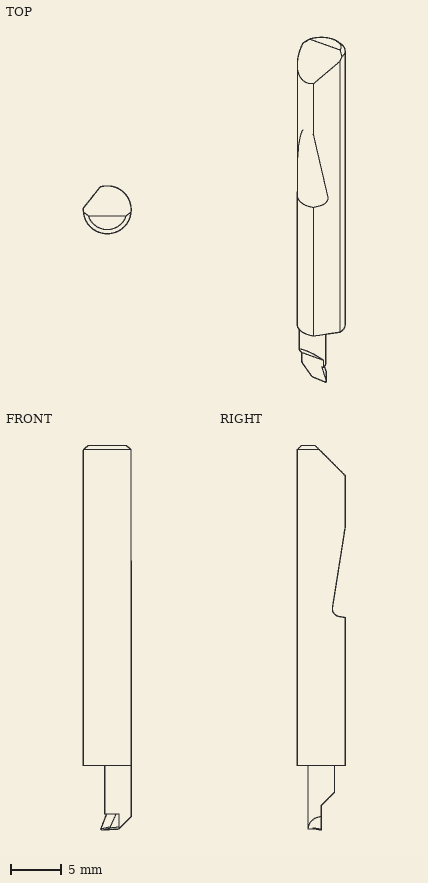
import cadquery as cq
import math

total_length = 38.1
shank_diameter = 4.75
shank_radius = shank_diameter / 2
shank_bottom = 6.4
top_chamfer = 0.4

flat_start_angle = math.radians(107)
flat_end_angle = math.radians(176)

bevel_edge_y = -0.6

notch_top = 29.98
notch_bottom = 21.05
notch_angle = math.radians(9)
notch_fillet = 0.75

neck_diameter = 2.63
neck_radius = neck_diameter / 2
neck_x = shank_radius - neck_radius
rake_cut_bottom = 2.45

tooth_top = 1.6
tooth_root_x = 1.15
tooth_top_x = -0.08
tooth_depth = 1.3
tooth_corner_x = -0.65
tooth_corner_z = 0.1
tooth_tip_x = -0.55
nose_chamfer_z = 0.095
side_relief = 0.95
end_relief = 0.23

margin = 0.38
reach = shank_diameter


def cut_across(points):
    """Solid with a (Y, Z) profile, running across the whole width in X."""
    return cq.Workplane("YZ").polyline(points).close().extrude(reach, both=True)


def make_shank():
    length = total_length - shank_bottom
    shank = cq.Workplane("XY").workplane(offset=shank_bottom).circle(shank_radius).extrude(length)
    return shank.faces(">Z").chamfer(top_chamfer)


def make_side_flat():
    def at_radius(angle, radius):
        return (radius * math.cos(angle), radius * math.sin(angle))

    points = [
        at_radius(flat_start_angle, shank_radius),
        at_radius(flat_start_angle, 2 * shank_radius),
        at_radius(flat_end_angle, 2 * shank_radius),
        at_radius(flat_end_angle, shank_radius),
    ]
    return cq.Workplane("XY").polyline(points).close().extrude(total_length)


def make_top_bevel():
    return cut_across([
        (bevel_edge_y, total_length),
        (bevel_edge_y + reach, total_length - reach),
        (bevel_edge_y + reach, total_length),
    ])


def make_notch():
    length = notch_top - notch_bottom
    wall = length * math.sin(notch_angle)
    corner_y = shank_radius - wall * math.cos(notch_angle)
    corner_z = notch_bottom + wall * math.sin(notch_angle)
    floor_run = margin / math.tan(notch_angle)
    wall_drop = margin * math.tan(notch_angle)
    notch = cut_across([
        (corner_y, corner_z),
        (shank_radius + margin, notch_top + floor_run),
        (shank_radius + margin, notch_bottom - wall_drop),
    ])
    return notch.edges("|X").edges("<Y").fillet(notch_fillet)


def make_neck():
    neck = cq.Workplane("XY").center(neck_x, 0).circle(neck_radius).extrude(shank_bottom + margin)

    rake_cut = cut_across([
        (0, -margin),
        (0, rake_cut_bottom),
        (reach, rake_cut_bottom + reach),
        (reach, -margin),
    ])

    nose_cut = (
        cq.Workplane("XZ")
        .polyline([
            (-reach, -margin),
            (-reach, tooth_top),
            (tooth_root_x, tooth_top),
            (tooth_root_x, nose_chamfer_z),
            (tooth_root_x + reach, nose_chamfer_z + reach),
            (tooth_root_x + reach, -margin),
        ])
        .close()
        .extrude(reach, both=True)
    )
    return neck.cut(rake_cut).cut(nose_cut)


def make_tooth():
    cutting_outline = [
        (tooth_root_x, tooth_top),
        (tooth_top_x, tooth_top),
        (tooth_corner_x, tooth_corner_z),
        (tooth_tip_x, 0),
        (tooth_root_x, nose_chamfer_z),
    ]
    front_outline = [
        (tooth_root_x, tooth_top),
        (tooth_top_x + side_relief, tooth_top),
        (tooth_corner_x + side_relief, tooth_corner_z + end_relief),
        (tooth_tip_x + side_relief, end_relief),
        (tooth_root_x, nose_chamfer_z + end_relief),
    ]
    return (
        cq.Workplane("XZ")
        .polyline(cutting_outline)
        .close()
        .workplane(offset=tooth_depth)
        .polyline(front_outline)
        .close()
        .loft(ruled=True)
    )


shank = make_shank().cut(make_side_flat()).cut(make_top_bevel()).cut(make_notch())
result = shank.union(make_neck()).union(make_tooth())